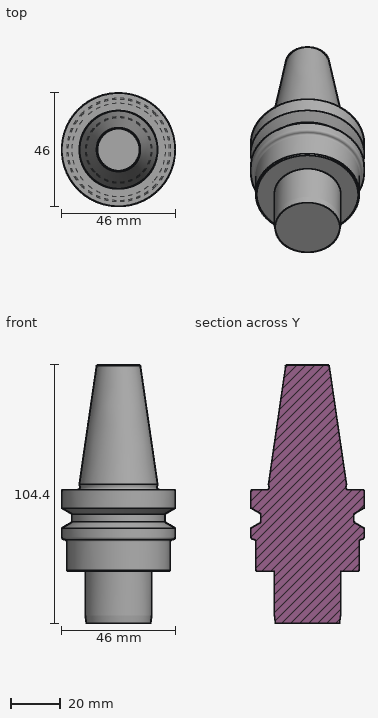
import cadquery as cq
import math

total_height = 104.4

shank_radius = 13.5
shank_end_radius = 13.0
shank_lead_in = 3.1

body_radius = 21.0
body_bottom = 21.0
body_chamfer = 0.5
body_fillet = 0.8

flange_radius = 23.0
flange_bottom = 33.8
flange_top = 54.1
flange_bottom_round = 1.0
flange_top_round = 0.6
groove_radius = 37.8 / 2
groove_wall_angle = 30.0
groove_outer_bottom = 38.5
groove_outer_top = 46.6
groove_wall_rise = (flange_radius - groove_radius) * math.tan(math.radians(groove_wall_angle))
groove_root_fillet = 0.3

neck_radius = 15.7
neck_fillet = 0.7
neck_top = 55.3
gauge_height = 56.2

taper_radius = 15.9
taper_rate = 7 / 24 / 2
tip_chamfer = 0.4
tip_edge_height = total_height - tip_chamfer
tip_radius = taper_radius - taper_rate * (tip_edge_height - gauge_height)


def shank_and_body(profile):
    """Draw the profile from the bottom centre up to the body fillet."""
    return (
        profile
        .lineTo(shank_end_radius, 0)
        .lineTo(shank_radius, shank_lead_in)
        .lineTo(shank_radius, body_bottom)
        .lineTo(body_radius - body_chamfer, body_bottom)
        .lineTo(body_radius, body_bottom + body_chamfer)
        .lineTo(body_radius, flange_bottom - body_fillet)
        .radiusArc((body_radius + body_fillet, flange_bottom), body_fillet)
    )


def flange(profile):
    """Continue around both flange rims and the groove between them."""
    return (
        profile
        .lineTo(flange_radius - flange_bottom_round, flange_bottom)
        .radiusArc((flange_radius, flange_bottom + flange_bottom_round), -flange_bottom_round)
        .lineTo(flange_radius, groove_outer_bottom)
        .lineTo(groove_radius, groove_outer_bottom + groove_wall_rise)
        .lineTo(groove_radius, groove_outer_top - groove_wall_rise)
        .lineTo(flange_radius, groove_outer_top)
        .lineTo(flange_radius, flange_top - flange_top_round)
        .radiusArc((flange_radius - flange_top_round, flange_top), -flange_top_round)
    )


def neck_and_taper(profile):
    """Continue up the relief neck and taper to the top centre."""
    return (
        profile
        .lineTo(neck_radius + neck_fillet, flange_top)
        .radiusArc((neck_radius, flange_top + neck_fillet), neck_fillet)
        .lineTo(neck_radius, neck_top)
        .lineTo(taper_radius, gauge_height)
        .lineTo(tip_radius, tip_edge_height)
        .lineTo(tip_radius - tip_chamfer, total_height)
        .lineTo(0, total_height)
    )


half_profile = neck_and_taper(flange(shank_and_body(cq.Workplane("XZ"))))
holder = half_profile.close().revolve(360, (0, 0), (0, 1))

root_edges = holder.edges(
    cq.selectors.BoxSelector(
        (-flange_radius, -flange_radius, groove_outer_bottom + groove_wall_rise / 2),
        (flange_radius, flange_radius, groove_outer_top - groove_wall_rise / 2),
    )
).edges("%CIRCLE")
result = root_edges.fillet(groove_root_fillet)